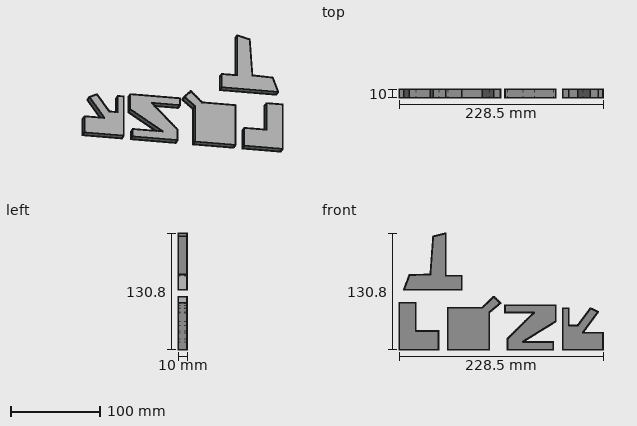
import cadquery as cq

THICKNESS = 10.0
TOTAL_WIDTH = 228.52
TOTAL_HEIGHT = 130.82
FORK_WIDTH = 45.4

CORNER_LEFT = 0.0
FLAG_LEFT = 54.4
ZIGZAG_LEFT = 118.4
FORK_LEFT = TOTAL_WIDTH - FORK_WIDTH
TEE_LEFT = 5.2
TEE_BASE = 67.4


def plate(outline, left, base=0.0):
    """Extrude an XZ outline along +Y and set its origin at (left, base)."""
    profile = cq.Workplane("XZ", origin=(left, 0, base)).polyline(outline).close()
    return profile.extrude(-THICKNESS)


def corner_plate():
    """L shape: an upright and a foot."""
    width = 44.2
    height = 53.0
    upright_width = 18.7
    foot_height = 21.3
    outline = [
        (0, 0),
        (width, 0),
        (width, foot_height),
        (upright_width, foot_height),
        (upright_width, height),
        (0, height),
    ]
    return plate(outline, CORNER_LEFT)


def flag_plate():
    """Near-square block with a slanted arm leaving its upper right corner."""
    width = 46.8
    height = 47.5
    arm_start_x = 38.8
    arm_start_z = 42.2
    arm_peak = (51.6, 59.8)
    arm_tip = (59.2, 52.4)
    outline = [
        (0, 0),
        (width, 0),
        (width, arm_start_z),
        arm_tip,
        arm_peak,
        (arm_start_x, height),
        (0, height),
    ]
    return plate(outline, FLAG_LEFT)


def zigzag_plate():
    """Z shape: two level bars joined by a tapered diagonal."""
    width = 57.2
    height = 50.2
    top_bar_bottom = 41.9
    bottom_bar_left = 2.8
    bottom_bar_right = 54.4
    bottom_bar_height = 8.9
    upper_notch_x = 32.7
    lower_notch_x = 19.9
    diagonal_left_z = 12.5
    diagonal_right_z = 31.9
    outline = [
        (bottom_bar_left, 0),
        (bottom_bar_right, 0),
        (bottom_bar_right, bottom_bar_height),
        (lower_notch_x, bottom_bar_height),
        (width, diagonal_right_z),
        (width, height),
        (0, height),
        (0, top_bar_bottom),
        (upper_notch_x, top_bar_bottom),
        (bottom_bar_left, diagonal_left_z),
    ]
    return plate(outline, ZIGZAG_LEFT)


def fork_plate():
    """K-like shape: a narrow upright, a slanted arm and a broad foot."""
    width = FORK_WIDTH
    height = 46.8
    upright_width = 7.0
    notch_floor = 27.5
    foot_height = 19.3
    arm_start_x = 16.9
    arm_root_x = 22.7
    arm_peak = (31.2, height)
    arm_tip = (39.9, 42.7)
    outline = [
        (0, 0),
        (width, 0),
        (width, foot_height),
        (arm_root_x, foot_height),
        arm_tip,
        arm_peak,
        (arm_start_x, notch_floor),
        (upright_width, notch_floor),
        (upright_width, height),
        (0, height),
    ]
    return plate(outline, FORK_LEFT)


def tee_plate():
    """Upside-down T with a slanted left end, a leaning stem side and a sloped top."""
    width = 65.1
    height = TOTAL_HEIGHT - TEE_BASE
    stem_right = 47.3
    right_foot_height = 15.9
    stem_top_left = (32.8, 59.8)
    stem_root_left = (29.7, 17.3)
    left_foot_top = (6.3, 16.6)
    outline = [
        (0, 0),
        (width, 0),
        (width, right_foot_height),
        (stem_right, right_foot_height),
        (stem_right, height),
        stem_top_left,
        stem_root_left,
        left_foot_top,
    ]
    return plate(outline, TEE_LEFT, TEE_BASE)


corner = corner_plate()
flag = flag_plate()
zigzag = zigzag_plate()
fork = fork_plate()
tee = tee_plate()

result = cq.Compound.makeCompound(
    [corner.val(), flag.val(), zigzag.val(), fork.val(), tee.val()]
)